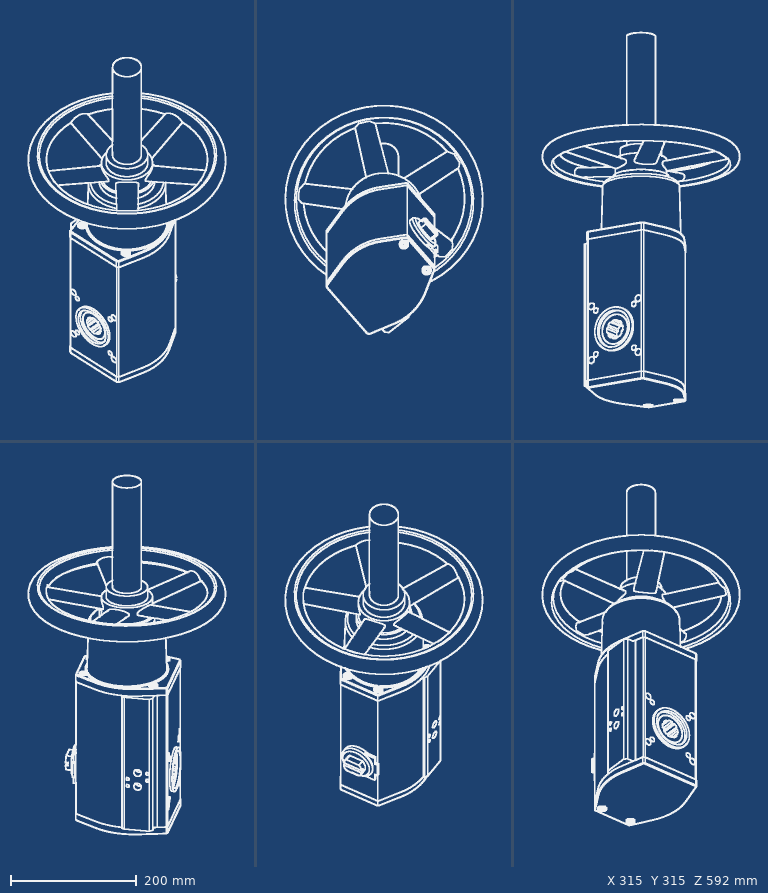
import cadquery as cq
import math

total_height = 592.0
cap_bottom_z = 1.0
body_bottom_z = 13.5
body_top_z = 247.0
cap_top_z = 260.0
housing_top_z = 349.5
collar_top_z = 360.0
hub_top_z = 388.5
boss_top_z = 405.5

shaft_radius = 23.0
boss_radius = 33.0
hub_radius = 41.0
collar_radius = 44.5
housing_bottom_radius = 64.0
housing_top_radius = 61.5
housing_chamfer_width = 3.5
housing_chamfer_height = 5.5
flange_radius = 66.5
flange_height = 1.0

front_y = -77.0
front_half_width = 54.0
corner_width = 3.5
corner_depth = 2.0
flank_front = (66.5, -31.0)
flank_middle = (69.0, -3.0)
flank_back = (55.0, 42.0)
back_y = 76.5
back_half_width = 36.0
cap_chamfer = 1.0
body_inset = 0.3

pad_x = -74.5
pad_step_x = -70.0
pad_root_x = -63.0
pad_back_y = -6.5
pad_chamfer = 5.0
pad_front_y = -56.0
pad_fillet = 5.0
port_pitch = 24.0
port_y = -32.5
port_radius = 6.0
port_depth = 15.0
screw_hole_offset_y = 16.0
screw_hole_radius = 2.5
screw_hole_depth = 12.0

output_z = 90.5
ring_outer_radius = 35.5
ring_inner_radius = 30.0
ring_height = 3.5
bushing_radius = 24.0
bushing_gap_depth = 1.0
square_side = 25.5
square_tip_radius = 15.5
square_depth = 29.5
mounting_holes = ((36.0, 4.0), (44.5, 5.5))
mounting_hole_depth = 15.0
disc_radius = 28.5
disc_height = 9.5
disc_chamfer = 3.5
pointer_steps = ((37.0, 25.0), (31.5, 51.0))
pointer_thickness = 3.5
pointer_gap = 1.0
stub_radius = 17.0
stub_half_height = 12.5
stub_height = 10.5
stub_slot_width = 5.5
stub_slot_depth = 4.0

drill_tip_ratio = 0.6

back_screw_points = ((28.5, 64.5), (-28.5, 64.5))
front_screw_points = ((48.0, -53.0), (-48.0, -53.0))
screw_head_radius = 5.5
screw_head_height = 1.0
screw_recess_radius = 7.0
screw_recess_depth = 3.0
socket_across_corners = 6.0

wheel_radius = 157.5
rim_z = 393.0
rim_tube_radius = 13.0
rim_inner_radius = 128.5
rim_bevel_radius = 143.0
rim_bevel_width = 3.0
rim_bevel_height = 2.0
rim_lip_rise = 5.0
spoke_count = 5
spoke_start_angle = 26.0
spoke_inner_z = 375.0
spoke_outer_z = 392.5
spoke_inner_radius = 29.5
spoke_outer_radius = 136.0
spoke_inner_width = 37.0
spoke_outer_width = 33.0
spoke_thickness = 14.0


def cylinder(radius, bottom_z, top_z):
    """Upright cylinder on the shaft axis."""
    return cq.Workplane("XY").workplane(offset=bottom_z).circle(radius).extrude(top_z - bottom_z)


def bar_along_y(radius, start_y, end_y):
    """Round bar on the output axis, running in +Y from start_y to end_y."""
    plane = cq.Plane(origin=(0, start_y, output_z), xDir=(1, 0, 0), normal=(0, 1, 0))
    return cq.Workplane(plane).circle(radius).extrude(end_y - start_y)


def drilled_hole(point, direction, radius, depth):
    """Round hole with a conical drill tip, starting at point and running along direction."""
    axis_plane = cq.Plane(origin=point, xDir=(0, 0, 1), normal=direction)
    tip_depth = depth + drill_tip_ratio * radius
    half_section = [(0, 0), (0, tip_depth), (radius, depth), (radius, 0)]
    hole = cq.Workplane("XZ").polyline(half_section).close().revolve(360, (0, 0, 0), (0, 1, 0))
    return cq.Workplane(hole.val().moved(cq.Location(axis_plane)))


def body_prism(bottom_z, top_z, inset=0.0):
    """Slice of the body: flat front and back joined by bowed flanks."""
    half = [
        (front_half_width - corner_width, front_y),
        (front_half_width, front_y + corner_depth),
        flank_front,
    ]
    profile = cq.Workplane("XY").workplane(offset=bottom_z).moveTo(0, front_y)
    for point in half:
        profile = profile.lineTo(*point)
    profile = profile.threePointArc(flank_middle, flank_back)
    profile = profile.lineTo(back_half_width, back_y - corner_depth)
    profile = profile.lineTo(back_half_width - corner_depth, back_y)
    profile = profile.lineTo(0, back_y).mirrorY()
    if inset > 0:
        profile = profile.offset2D(-inset)
    return profile.extrude(top_z - bottom_z)


def connection_pad():
    """Raised pad on the -X flank with a bevelled back edge and a filleted front root."""
    height = body_top_z - body_bottom_z
    return (
        cq.Workplane("XY").workplane(offset=body_bottom_z)
        .moveTo(0, pad_back_y)
        .lineTo(pad_x + pad_chamfer / 2, pad_back_y)
        .lineTo(pad_x, pad_back_y - pad_chamfer)
        .lineTo(pad_x, pad_front_y + pad_chamfer)
        .lineTo(pad_step_x, pad_front_y)
        .lineTo(pad_root_x, pad_front_y)
        .radiusArc((pad_root_x + pad_fillet, pad_front_y - pad_fillet), pad_fillet)
        .lineTo(0, pad_front_y - pad_fillet)
        .close()
        .extrude(height)
    )


def pad_holes():
    """Two air ports and the staggered pairs of fixing holes beside them."""
    upper_z = output_z + port_pitch
    middle_z = output_z + port_pitch / 2
    inward = (1, 0, 0)
    holes = cq.Workplane("XY")
    for z in (output_z, upper_z):
        holes = holes.add(drilled_hole((pad_x, port_y, z), inward, port_radius, port_depth))
    for y, z in (
        (port_y + screw_hole_offset_y, output_z),
        (port_y + screw_hole_offset_y, middle_z),
        (port_y - screw_hole_offset_y, middle_z),
        (port_y - screw_hole_offset_y, upper_z),
    ):
        holes = holes.add(drilled_hole((pad_x, y, z), inward, screw_hole_radius, screw_hole_depth))
    return holes.combine()


def output_ring():
    """Centring ring standing proud of the front face."""
    outer = bar_along_y(ring_outer_radius, front_y - ring_height, front_y + ring_height)
    return outer.cut(bar_along_y(ring_inner_radius, front_y - ring_height, front_y + ring_height))


def output_cuts():
    """Gap round the output bushing, its double-square socket and the mounting holes."""
    gap_end_y = front_y + bushing_gap_depth
    cuts = bar_along_y(ring_inner_radius, front_y, gap_end_y)
    cuts = cuts.cut(bar_along_y(bushing_radius, front_y, gap_end_y))
    star = None
    for angle in (0, 45):
        square = (
            cq.Workplane("XZ", origin=(0, front_y, output_z))
            .transformed(rotate=(0, 0, angle))
            .rect(square_side, square_side)
            .extrude(-square_depth)
        )
        star = square if star is None else star.union(square)
    tip_limit = bar_along_y(square_tip_radius, front_y, front_y + square_depth)
    cuts = cuts.union(star.intersect(tip_limit))
    for offset, radius in mounting_holes:
        for x in (-offset, offset):
            for z in (output_z - offset, output_z + offset):
                hole = drilled_hole((x, front_y, z), (0, 1, 0), radius, mounting_hole_depth)
                cuts = cuts.union(hole)
    return cuts


def position_shaft():
    """Disc on the back face carrying a stepped pointer towards -X and a slotted stub with two flats."""
    disc_end_y = back_y + disc_height
    stub_end_y = disc_end_y + stub_height
    disc = bar_along_y(disc_radius, back_y - disc_height, disc_end_y).faces(">Y").chamfer(disc_chamfer)
    stub = bar_along_y(stub_radius, back_y, stub_end_y)
    flats = cq.Workplane("XY").box(
        2 * stub_radius, 2 * stub_end_y, 2 * stub_half_height
    ).translate((0, 0, output_z))
    slot = cq.Workplane("XY").box(
        2 * stub_radius, 2 * stub_slot_depth, stub_slot_width
    ).translate((0, stub_end_y, output_z))
    pointer_middle_y = back_y + pointer_gap + pointer_thickness / 2
    for reach, width in pointer_steps:
        pointer = cq.Workplane("XY").box(reach, pointer_thickness, width)
        disc = disc.union(pointer.translate((-reach / 2, pointer_middle_y, output_z)))
    return disc.union(stub.intersect(flats).cut(slot))


def end_cap(bottom_z, top_z, outer_face):
    """Cap with a bevelled outer rim; outer_face selects its exposed end."""
    return body_prism(bottom_z, top_z).faces(outer_face).chamfer(cap_chamfer)


def cap_screws(part, points, face_z, outward):
    """Add recessed socket-head screws to a cap; outward is +1 for the top and -1 for the bottom."""
    floor_z = face_z - outward * screw_recess_depth
    head_length = screw_recess_depth + screw_head_height
    floor = cq.Workplane("XY").workplane(offset=floor_z).pushPoints(points)
    recesses = floor.circle(screw_recess_radius).extrude(outward * head_length)
    heads = floor.circle(screw_head_radius).extrude(outward * head_length)
    sockets = floor.polygon(6, socket_across_corners).extrude(outward * head_length)
    return part.cut(recesses).union(heads.cut(sockets))


def gear_housing():
    """Slightly tapered housing with a bevelled top, turned about the shaft axis."""
    return (
        cq.Workplane("XZ")
        .moveTo(0, cap_top_z)
        .lineTo(housing_bottom_radius, cap_top_z)
        .lineTo(housing_top_radius, housing_top_z - housing_chamfer_height)
        .lineTo(housing_top_radius - housing_chamfer_width, housing_top_z)
        .lineTo(0, housing_top_z)
        .close()
        .revolve(360, (0, 0, 0), (0, 1, 0))
    )


def wheel_rim():
    """Rim with a round outer part and a narrower inner lip, joined by bevels."""
    tube_center_radius = wheel_radius - rim_tube_radius
    half_height = math.sqrt(rim_tube_radius ** 2 - (tube_center_radius - rim_bevel_radius) ** 2)
    top_z = rim_z + half_height
    bottom_z = rim_z - half_height
    lip_radius = rim_bevel_radius - rim_bevel_width
    return (
        cq.Workplane("XZ")
        .moveTo(rim_bevel_radius, top_z)
        .threePointArc((wheel_radius, rim_z), (rim_bevel_radius, bottom_z))
        .lineTo(lip_radius, bottom_z + rim_bevel_height + rim_lip_rise)
        .threePointArc((rim_inner_radius, rim_z + rim_lip_rise), (lip_radius, top_z - rim_bevel_height))
        .close()
        .revolve(360, (0, 0, 0), (0, 1, 0))
    )


def spoke(angle):
    """Tapered elliptical spoke rising from the hub to the rim."""
    length = spoke_outer_radius - spoke_inner_radius
    return (
        cq.Workplane("YZ", origin=(spoke_inner_radius, 0, spoke_inner_z))
        .ellipse(spoke_inner_width / 2, spoke_thickness / 2)
        .workplane(offset=length)
        .center(0, spoke_outer_z - spoke_inner_z)
        .ellipse(spoke_outer_width / 2, spoke_thickness / 2)
        .loft()
        .rotate((0, 0, 0), (0, 0, 1), angle)
    )


result = body_prism(body_bottom_z, body_top_z, body_inset)
result = result.union(connection_pad()).cut(pad_holes())
result = result.union(end_cap(cap_bottom_z, body_bottom_z, "<Z"))
result = result.union(end_cap(body_top_z, cap_top_z, ">Z"))
result = result.union(cylinder(flange_radius, cap_top_z, cap_top_z + flange_height))
result = cap_screws(result, back_screw_points + front_screw_points, cap_top_z, 1)
result = cap_screws(result, back_screw_points, cap_bottom_z, -1)
result = result.cut(output_cuts()).union(output_ring()).union(position_shaft())

result = result.union(gear_housing())
for radius, bottom_z, top_z in (
    (collar_radius, housing_top_z, collar_top_z),
    (hub_radius, collar_top_z, hub_top_z),
    (boss_radius, hub_top_z, boss_top_z),
    (shaft_radius, boss_top_z, total_height),
):
    result = result.union(cylinder(radius, bottom_z, top_z))

result = result.union(wheel_rim())
for index in range(spoke_count):
    result = result.union(spoke(spoke_start_angle + index * 360 / spoke_count))